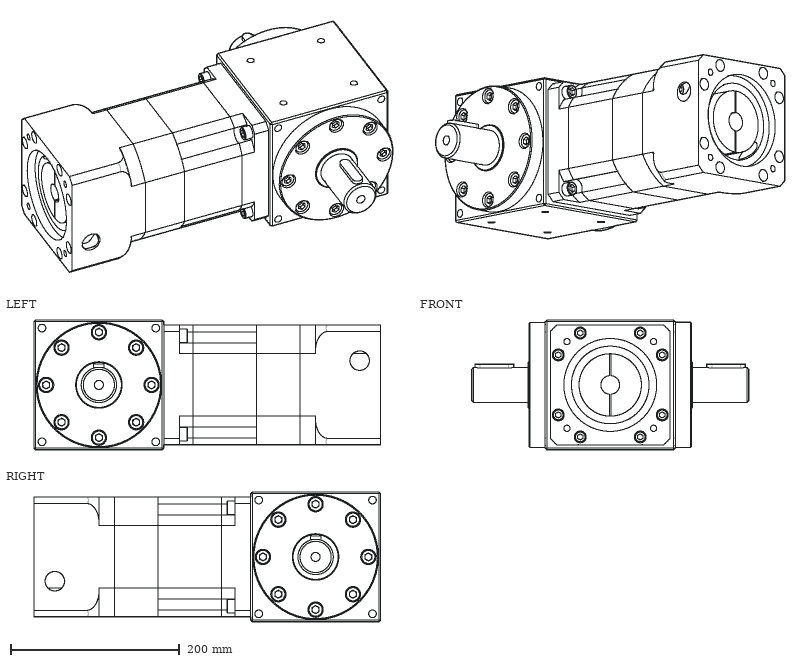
import cadquery as cq
import math


HOUSING_SIDE = 154.0
HOUSING_CHAMFER = 2.0
FLANGE_RADIUS = 74.5
FLANGE_FACE_X = 96.0
FLANGE_CHAMFER = 1.2
MOUNT_HOLE_OFFSET = 46.0
MOUNT_HOLE_RADIUS = 4.0
CORNER_HOLE_OFFSET = 67.5
CORNER_HOLE_RADIUS = 4.5
TAPPED_HOLE_DEPTH = 12.5

FLANGE_SCREW_COUNT = 8
FLANGE_SCREW_CIRCLE_RADIUS = 62.5
FLANGE_COUNTERBORE_RADIUS = 9.0
FLANGE_COUNTERBORE_DEPTH = 10.3
FLANGE_SCREW_RECESS = 2.5

SCREW_HEAD_RADIUS = 8.0
SCREW_SOCKET_FLATS = 8.2
SCREW_SOCKET_DEPTH = 5.0

SHAFT_LENGTH = 329.0
SHAFT_RADIUS = 21.0
SHAFT_CHAMFER = 2.5
SHOULDER_RADIUS = 27.5
SHOULDER_STANDOUT = 1.2
SHOULDER_CHAMFER = 1.0
CENTRE_HOLE_RADIUS = 5.5
CENTRE_HOLE_DEPTH = 24.5
KEY_LENGTH = 46.0
KEY_WIDTH = 12.5
KEY_TOP_Z = 24.5
KEY_BOTTOM_Z = 15.5
KEY_END_GAP = 4.0

TRAIN_SIDE = 142.2
TRAIN_CHAMFER = 8.0
TURNED_RADIUS = 80.0
HOUSING_FRONT_Y = -HOUSING_SIDE / 2
SCREW_SEAT_Y = -95.5
ADAPTER_END_Y = -111.8
RING_GEAR_END_Y = -187.0
INTERMEDIATE_END_Y = -238.5
SHOULDER_START_Y = -256.5
TOTAL_LENGTH = 411.0
MOTOR_FACE_Y = HOUSING_SIDE / 2 - TOTAL_LENGTH
CORNER_SCREW_OFFSET = 58.5
CORNER_SCREW_HEAD_HEIGHT = 10.0
CORNER_SCREW_HEAD_CHAMFER = 1.0
CORNER_GROOVE_RADIUS = 10.0

PILOT_RADIUS = 55.0
PILOT_DEPTH = 10.3
COLLET_CHAMBER_RADIUS = 46.0
MOTOR_SCREW_CIRCLE_RADIUS = 71.0
MOTOR_COUNTERBORE_RADIUS = 7.0
MOTOR_COUNTERBORE_DEPTH = 49.5
MOTOR_SCREW_HEAD_RADIUS = 5.8
MOTOR_SCREW_HEAD_HEIGHT = 8.2
MOTOR_SOCKET_FLATS = 6.0
MOTOR_SOCKET_DEPTH = 4.0
MOTOR_TAPPED_OFFSET = 51.5
MOTOR_TAPPED_RADIUS = 3.5
ACCESS_HOLE_RADIUS = 11.5
ACCESS_HOLE_Y = -309.0
ACCESS_HOLE_Z = 28.8

COLLET_RADIUS = 37.0
COLLET_BORE_RADIUS = 11.0
COLLET_BORE_DEPTH = 65.8
COLLET_SLIT_WIDTH = 1.5

DRILL_TIP_ANGLE = 118.0
SIGNS = (-1, 1)
FOUR_CORNERS = [(a, b) for a in SIGNS for b in SIGNS]
TOWARD_MOTOR = (0, -1, 0)
TOWARD_HOUSING = (0, 1, 0)


def cylinder(start, direction, radius, length):
    """A cylinder that begins at start and runs along direction."""
    return cq.Workplane(cq.Solid.makeCylinder(radius, length, cq.Vector(*start), cq.Vector(*direction)))


def drill_tip(start, direction, radius):
    """The cone that a drill leaves at the bottom of a blind hole."""
    height = radius / math.tan(math.radians(DRILL_TIP_ANGLE / 2))
    return cq.Workplane(cq.Solid.makeCone(radius, 0, height, cq.Vector(*start), cq.Vector(*direction)))


def along(start, direction, distance):
    """The point reached from start after moving distance along a unit direction."""
    return tuple(s + distance * d for s, d in zip(start, direction))


def drilled_hole(start, direction, radius, depth):
    """Cutter for a blind drilled hole with a conical bottom."""
    tip = drill_tip(along(start, direction, depth), direction, radius)
    return cylinder(start, direction, radius, depth).union(tip)


def hex_socket(start, direction, flats, depth):
    """Cutter for a hexagonal screw socket, sized across its flats."""
    corner_diameter = flats / math.cos(math.radians(30))
    plane = cq.Plane(origin=start, xDir=(0, 0, 1), normal=direction)
    return cq.Workplane(plane).polygon(6, corner_diameter).extrude(depth)


def make_housing():
    """Cube with both bearing flanges, their recessed screws and the bore for the shaft."""
    housing = cq.Workplane().box(HOUSING_SIDE, HOUSING_SIDE, HOUSING_SIDE).edges().chamfer(HOUSING_CHAMFER)
    for side in SIGNS:
        outward = (side, 0, 0)
        flange = cylinder((0, 0, 0), outward, FLANGE_RADIUS, FLANGE_FACE_X)
        flange = flange.faces(">X" if side > 0 else "<X").chamfer(FLANGE_CHAMFER)
        housing = housing.union(flange)
    for side in SIGNS:
        housing = cut_flange_screws(housing, side)
        housing = cut_corner_holes(housing, side)
    for x_sign, y_sign in FOUR_CORNERS:
        for z_sign in SIGNS:
            start = (x_sign * MOUNT_HOLE_OFFSET, y_sign * MOUNT_HOLE_OFFSET, z_sign * HOUSING_SIDE / 2)
            housing = housing.cut(drilled_hole(start, (0, 0, -z_sign), MOUNT_HOLE_RADIUS, TAPPED_HOLE_DEPTH))
    return housing.cut(shaft_core())


def cut_flange_screws(housing, side):
    """Ring of counterbores, each with a socket screw head standing in it."""
    inward = (-side, 0, 0)
    for index in range(FLANGE_SCREW_COUNT):
        angle = 2 * math.pi * index / FLANGE_SCREW_COUNT
        y = FLANGE_SCREW_CIRCLE_RADIUS * math.cos(angle)
        z = FLANGE_SCREW_CIRCLE_RADIUS * math.sin(angle)
        start = (side * FLANGE_FACE_X, y, z)
        head_top = along(start, inward, FLANGE_SCREW_RECESS)
        head_height = FLANGE_COUNTERBORE_DEPTH - FLANGE_SCREW_RECESS
        counterbore = cylinder(start, inward, FLANGE_COUNTERBORE_RADIUS, FLANGE_COUNTERBORE_DEPTH)
        counterbore = counterbore.cut(cylinder(head_top, inward, SCREW_HEAD_RADIUS, head_height))
        socket = hex_socket(head_top, inward, SCREW_SOCKET_FLATS, SCREW_SOCKET_DEPTH)
        socket_floor = along(head_top, inward, SCREW_SOCKET_DEPTH)
        tip = drill_tip(socket_floor, inward, SCREW_SOCKET_FLATS / 2)
        housing = housing.cut(counterbore).cut(socket).cut(tip)
    return housing


def cut_corner_holes(housing, side):
    """Tapped holes in the four corners of an output side of the cube."""
    for y_sign, z_sign in FOUR_CORNERS:
        start = (side * HOUSING_SIDE / 2, y_sign * CORNER_HOLE_OFFSET, z_sign * CORNER_HOLE_OFFSET)
        housing = housing.cut(drilled_hole(start, (-side, 0, 0), CORNER_HOLE_RADIUS, TAPPED_HOLE_DEPTH))
    return housing


def shaft_core():
    """Thick middle of the shaft, ending in chamfered shoulders just outside the flanges."""
    half_length = FLANGE_FACE_X + SHOULDER_STANDOUT
    core = cylinder((-half_length, 0, 0), (1, 0, 0), SHOULDER_RADIUS, 2 * half_length)
    return core.faces("<X or >X").chamfer(SHOULDER_CHAMFER)


def make_shaft():
    """Through shaft with a key and a centre hole at each end."""
    half_length = SHAFT_LENGTH / 2
    shaft = cylinder((-half_length, 0, 0), (1, 0, 0), SHAFT_RADIUS, SHAFT_LENGTH)
    shaft = shaft.faces("<X or >X").chamfer(SHAFT_CHAMFER).union(shaft_core())
    key_x = half_length - KEY_END_GAP - KEY_LENGTH / 2
    for side in SIGNS:
        key = cq.Workplane().center(side * key_x, 0).slot2D(KEY_LENGTH, KEY_WIDTH)
        key = key.extrude(KEY_TOP_Z - KEY_BOTTOM_Z).translate((0, 0, KEY_BOTTOM_Z))
        centre_hole = drilled_hole((side * half_length, 0, 0), (-side, 0, 0), CENTRE_HOLE_RADIUS, CENTRE_HOLE_DEPTH)
        shaft = shaft.union(key).cut(centre_hole)
    return shaft


def square_prism(start_y, end_y):
    """Square block along -Y."""
    length = start_y - end_y
    return cq.Workplane().box(TRAIN_SIDE, length, TRAIN_SIDE).translate((0, (start_y + end_y) / 2, 0))


def chamfered_prism(start_y, end_y):
    """Square block along -Y with its four long edges chamfered."""
    return square_prism(start_y, end_y).edges("|Y").chamfer(TRAIN_CHAMFER)


def turned_prism(start_y, end_y):
    """Square block along -Y with its corners turned round."""
    turned = cylinder((0, start_y, 0), TOWARD_MOTOR, TURNED_RADIUS, start_y - end_y)
    return square_prism(start_y, end_y).intersect(turned)


def corner_points(y):
    """Places of the four corner screws in the plane at y."""
    return [(a * CORNER_SCREW_OFFSET, y, b * CORNER_SCREW_OFFSET) for a, b in FOUR_CORNERS]


def cut_corner_grooves(body, start_y, end_y):
    """Grooves along the turned corners that give access to the corner screws."""
    for point in corner_points(start_y):
        body = body.cut(cylinder(point, TOWARD_MOTOR, CORNER_GROOVE_RADIUS, start_y - end_y))
    return body


def make_adapter():
    """Plate against the housing, with a screw head on the seat in each corner."""
    turned = turned_prism(SCREW_SEAT_Y, ADAPTER_END_Y)
    turned = cut_corner_grooves(turned, SCREW_SEAT_Y, ADAPTER_END_Y)
    adapter = chamfered_prism(HOUSING_FRONT_Y, SCREW_SEAT_Y).union(turned)
    for point in corner_points(SCREW_SEAT_Y):
        head = cylinder(point, TOWARD_MOTOR, SCREW_HEAD_RADIUS, CORNER_SCREW_HEAD_HEIGHT)
        head = head.faces("<Y").chamfer(CORNER_SCREW_HEAD_CHAMFER)
        head_top = along(point, TOWARD_MOTOR, CORNER_SCREW_HEAD_HEIGHT)
        socket = hex_socket(head_top, TOWARD_HOUSING, SCREW_SOCKET_FLATS, SCREW_SOCKET_DEPTH)
        adapter = adapter.union(head.cut(socket))
    return adapter


def make_ring_gear():
    """Ring gear section, with the corner grooves along its full length."""
    ring_gear = turned_prism(ADAPTER_END_Y, RING_GEAR_END_Y)
    return cut_corner_grooves(ring_gear, ADAPTER_END_Y, RING_GEAR_END_Y)


def make_intermediate():
    """Plain section between the ring gear and the motor flange."""
    return turned_prism(RING_GEAR_END_Y, INTERMEDIATE_END_Y)


def make_motor_flange():
    """Motor flange: round-cornered neck growing through a rounded shoulder into a chamfered square."""
    half_side = TRAIN_SIDE / 2
    corner_radius = math.hypot(half_side, half_side - TRAIN_CHAMFER)
    rounding = corner_radius - TURNED_RADIUS
    shoulder_end_y = SHOULDER_START_Y - rounding
    arc_reach = rounding * math.sin(math.radians(45))
    envelope = (
        cq.Workplane()
        .moveTo(0, INTERMEDIATE_END_Y)
        .lineTo(TURNED_RADIUS, INTERMEDIATE_END_Y)
        .lineTo(TURNED_RADIUS, SHOULDER_START_Y)
        .threePointArc((TURNED_RADIUS + arc_reach, shoulder_end_y + arc_reach), (corner_radius, shoulder_end_y))
        .lineTo(corner_radius, MOTOR_FACE_Y)
        .lineTo(0, MOTOR_FACE_Y)
        .close()
        .revolve(360, (0, 0, 0), (0, 1, 0))
    )
    neck = square_prism(INTERMEDIATE_END_Y, SHOULDER_START_Y)
    flange = chamfered_prism(SHOULDER_START_Y, MOTOR_FACE_Y).union(neck).intersect(envelope)
    chamber_length = INTERMEDIATE_END_Y - MOTOR_FACE_Y
    face_centre = (0, MOTOR_FACE_Y, 0)
    flange = flange.cut(cylinder(face_centre, TOWARD_HOUSING, PILOT_RADIUS, PILOT_DEPTH))
    flange = flange.cut(cylinder(face_centre, TOWARD_HOUSING, COLLET_CHAMBER_RADIUS, chamber_length))
    for side in SIGNS:
        access_start = (side * half_side, ACCESS_HOLE_Y, -side * ACCESS_HOLE_Z)
        flange = flange.cut(cylinder(access_start, (-side, 0, 0), ACCESS_HOLE_RADIUS, half_side))
    for x_sign, z_sign in FOUR_CORNERS:
        start = (x_sign * MOTOR_TAPPED_OFFSET, MOTOR_FACE_Y, z_sign * MOTOR_TAPPED_OFFSET)
        flange = flange.cut(drilled_hole(start, TOWARD_HOUSING, MOTOR_TAPPED_RADIUS, TAPPED_HOLE_DEPTH))
    return cut_motor_screws(flange)


def cut_motor_screws(flange):
    """Deep counterbores in pairs beside the corners, each with a socket screw head at its bottom."""
    for quarter in range(4):
        for offset in (30, 60):
            angle = math.radians(90 * quarter + offset)
            x = MOTOR_SCREW_CIRCLE_RADIUS * math.cos(angle)
            z = MOTOR_SCREW_CIRCLE_RADIUS * math.sin(angle)
            start = (x, MOTOR_FACE_Y, z)
            head_top = along(start, TOWARD_HOUSING, MOTOR_COUNTERBORE_DEPTH - MOTOR_SCREW_HEAD_HEIGHT)
            head = cylinder(head_top, TOWARD_HOUSING, MOTOR_SCREW_HEAD_RADIUS, MOTOR_SCREW_HEAD_HEIGHT)
            counterbore = cylinder(start, TOWARD_HOUSING, MOTOR_COUNTERBORE_RADIUS, MOTOR_COUNTERBORE_DEPTH)
            socket = hex_socket(head_top, TOWARD_HOUSING, MOTOR_SOCKET_FLATS, MOTOR_SOCKET_DEPTH)
            flange = flange.cut(counterbore.cut(head)).cut(socket)
    return flange


def make_collet():
    """Clamping collet for the motor shaft, split by a slit across its bore."""
    front_y = MOTOR_FACE_Y + PILOT_DEPTH
    front_centre = (0, front_y, 0)
    collet = cylinder(front_centre, TOWARD_HOUSING, COLLET_RADIUS, INTERMEDIATE_END_Y - front_y)
    slit = cq.Workplane().box(COLLET_SLIT_WIDTH, COLLET_BORE_DEPTH, 2 * COLLET_RADIUS)
    slit = slit.translate((0, front_y + COLLET_BORE_DEPTH / 2, 0))
    bore = cylinder(front_centre, TOWARD_HOUSING, COLLET_BORE_RADIUS, COLLET_BORE_DEPTH)
    return collet.cut(bore).cut(slit)


housing = make_housing()
shaft = make_shaft()
adapter = make_adapter()
ring_gear = make_ring_gear()
intermediate = make_intermediate()
motor_flange = make_motor_flange()
collet = make_collet()

bodies = [housing, shaft, adapter, ring_gear, intermediate, motor_flange, collet]
result = cq.Compound.makeCompound([body.val() for body in bodies])